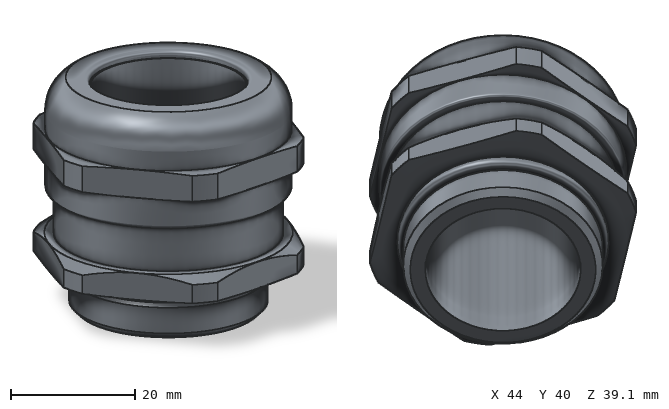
import cadquery as cq
import math


corner_radius = 22.0
across_flats = 40.0
nut_face_radius = 19.95
total_height = 39.1

thread_radius = 32.0 / 2
neck_radius = 29.8 / 2
thread_bevel = thread_radius - neck_radius
thread_top = 6.6

ring_outer_radius = 16.98
ring_section_radius = (ring_outer_radius - neck_radius) / 2
ring_mid_radius = ring_outer_radius - ring_section_radius
ring_height = 7.4

lower_nut_bottom = 8.05
lower_nut_top = 12.62
body_radius = 37.0 / 2

cap_radius = 39.7 / 2
cap_bottom = 20.25
collar_fillet = 0.55
upper_nut_bottom = 25.4
upper_nut_top = 30.25
dome_bottom = 33.5
dome_rim_radius = 16.55

slight_bevel_drop = 0.2
steep_bevel_drop = 1.2

bore_radius = 25.0 / 2
entry_radius = 25.45 / 2
entry_fillet = 0.8
entry_depth = 1.28


def cylinder(radius, bottom, top):
    return cq.Workplane("XY").workplane(offset=bottom).circle(radius).extrude(top - bottom)


def nut(bottom, top, top_bevel_drop):
    """Hexagon with two flats facing +Y and -Y, its corners rounded and bevelled above and below."""
    hexagon = (
        cq.Workplane("XY")
        .workplane(offset=bottom)
        .polygon(6, across_flats / math.cos(math.pi / 6))
        .extrude(top - bottom)
    )
    envelope = (
        cq.Workplane("XZ")
        .moveTo(0, bottom)
        .lineTo(nut_face_radius, bottom)
        .lineTo(corner_radius, bottom + slight_bevel_drop)
        .lineTo(corner_radius, top - top_bevel_drop)
        .lineTo(nut_face_radius, top)
        .lineTo(0, top)
        .close()
        .revolve(360, (0, 0, 0), (0, 1, 0))
    )
    return hexagon.intersect(envelope)


def threaded_end():
    thread = cylinder(thread_radius, 0, thread_top).faces("<Z or >Z").chamfer(thread_bevel)
    neck = cylinder(neck_radius, 0, lower_nut_top)
    return thread.union(neck)


def sealing_ring():
    """Round-section ring; its section is turned so that its seam is buried in the neck."""
    section_centre = (ring_mid_radius, 0, ring_height)
    section_plane = cq.Workplane("XZ", origin=section_centre).transformed(rotate=(0, 0, 180))
    return section_plane.circle(ring_section_radius).revolve(
        360,
        (ring_mid_radius, 0, 0),
        (ring_mid_radius, 1, 0),
    )


def cap():
    """Collar and domed head; the dome arc leaves the side smoothly and meets the flat top at an edge."""
    dome_height = total_height - dome_bottom
    dome_inset = cap_radius - dome_rim_radius
    arc_radius = (dome_height**2 + dome_inset**2) / (2 * dome_inset)
    half_sweep = math.asin(dome_height / arc_radius) / 2
    arc_middle = (
        cap_radius - arc_radius * (1 - math.cos(half_sweep)),
        dome_bottom + arc_radius * math.sin(half_sweep),
    )
    return (
        cq.Workplane("XZ")
        .moveTo(0, cap_bottom)
        .lineTo(cap_radius, cap_bottom)
        .lineTo(cap_radius, dome_bottom)
        .threePointArc(arc_middle, (dome_rim_radius, total_height))
        .lineTo(0, total_height)
        .close()
        .revolve(360, (0, 0, 0), (0, 1, 0))
        .faces("<Z")
        .edges()
        .fillet(collar_fillet)
    )


def bore():
    """Through hole plus the wider entry, whose mouth flares out in a quarter round."""
    mouth_radius = entry_radius + entry_fillet
    flare_bottom = total_height - entry_fillet
    entry_bottom = total_height - entry_depth
    flare_offset = entry_fillet * (1 - math.sqrt(0.5))
    return (
        cq.Workplane("XZ")
        .lineTo(bore_radius, 0)
        .lineTo(bore_radius, entry_bottom)
        .lineTo(entry_radius, entry_bottom)
        .lineTo(entry_radius, flare_bottom)
        .threePointArc(
            (entry_radius + flare_offset, total_height - flare_offset),
            (mouth_radius, total_height),
        )
        .lineTo(0, total_height)
        .close()
        .revolve(360, (0, 0, 0), (0, 1, 0))
    )


result = (
    threaded_end()
    .union(sealing_ring())
    .union(nut(lower_nut_bottom, lower_nut_top, steep_bevel_drop))
    .union(cylinder(body_radius, lower_nut_bottom, upper_nut_bottom))
    .union(cap())
    .union(nut(upper_nut_bottom, upper_nut_top, slight_bevel_drop))
    .cut(bore())
)